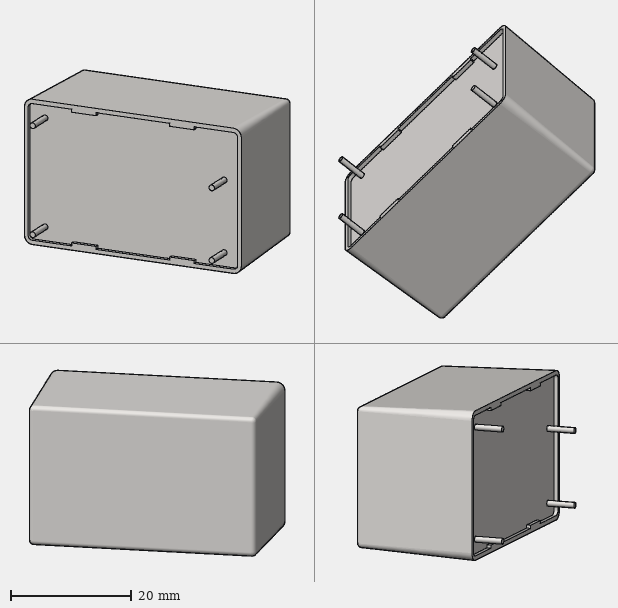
import cadquery as cq

width = 40.0
height = 25.4
depth = 21.0
draft_angle = 2.0
corner_radius = 1.5
back_edge_radius = 0.75

side_wall = 0.7
long_wall = 0.75
recess_depth = 0.7
recess_corner_radius = 0.8

tab_width = 4.5
tab_thickness = 0.5
tab_spacing = 18.1

total_depth = 25.1
pin_diameter = 1.0
pin_x = 16.5
pin_z = 9.5
offset_pin_z = 3.15
pin_length = total_depth - depth + recess_depth
pin_places = [(-pin_x, -pin_z), (-pin_x, pin_z), (pin_x, -pin_z), (pin_x, offset_pin_z)]


def rounded_profile(size_x, size_z, radius):
    """Rounded rectangle on the open face."""
    return cq.Sketch().rect(size_x, size_z).vertices().fillet(radius)


def make_shell_block():
    """Drafted outer block with a rounded back edge."""
    profile = rounded_profile(width, height, corner_radius)
    block = cq.Workplane("XZ").placeSketch(profile).extrude(-depth, taper=draft_angle)
    return block.faces(">Y").edges().fillet(back_edge_radius)


def make_recess():
    """Cutter for the recess, notched where the tabs remain."""
    recess_height = height - 2 * long_wall
    profile = rounded_profile(width - 2 * side_wall, recess_height, recess_corner_radius)
    recess = cq.Workplane("XZ").placeSketch(profile).extrude(-recess_depth)
    tabs = (
        cq.Workplane("XZ")
        .rarray(tab_spacing, recess_height, 2, 2)
        .rect(tab_width, 2 * tab_thickness)
        .extrude(-recess_depth)
    )
    return recess.cut(tabs)


def make_housing():
    return make_shell_block().cut(make_recess())


def make_pin(x, z):
    """Round pin from the recess floor out past the rim."""
    return (
        cq.Workplane("XZ", origin=(x, recess_depth, z))
        .circle(pin_diameter / 2)
        .extrude(pin_length)
    )


housing = make_housing()
pins = [make_pin(x, z) for x, z in pin_places]

result = cq.Compound.makeCompound([housing.val(), *[pin.val() for pin in pins]])